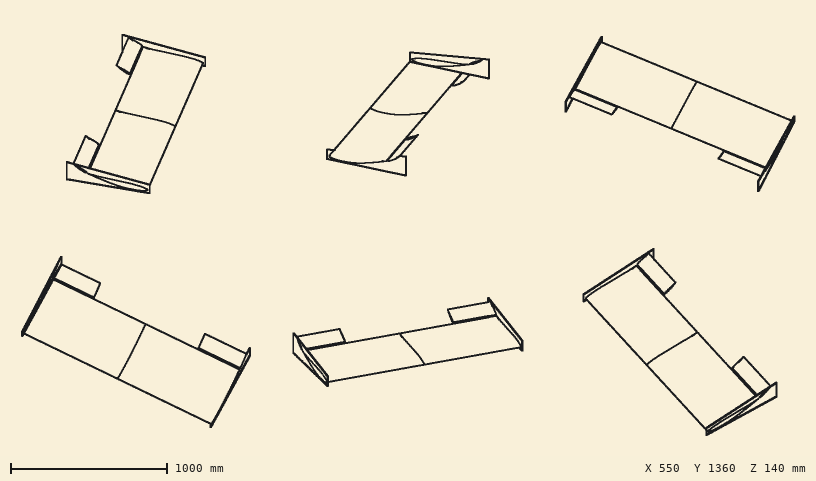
import cadquery as cq

SPAN = 1360.0
PLATE_LENGTH = 550.0
PLATE_REAR_HEIGHT = 140.0
PLATE_FRONT_HEIGHT = 70.0
PLATE_THICKNESS = 5.0
FLAP_SPAN = 299.0

PLATE_INNER_Y = SPAN / 2 - PLATE_THICKNESS
SIDES = (-1, 1)

WING_TRAILING_EDGE = (139.0, 73.0)
WING_LEADING_EDGE = (536.0, 22.0)
WING_UPPER = [(190, 65.0), (272, 60.0), (354, 56.0), (422, 50.0), (476, 44.0), (517, 33.0)]
WING_LOWER = [(521.0, 14), (490, 7.0), (435, 5.0), (381, 8.0), (318.0, 19.0), (246.0, 38.0), (190, 56.0)]

FLAP_TRAILING_EDGE = (44.0, 133.0)
FLAP_LEADING_EDGE = (132.0, 79.0)
FLAP_UPPER = [(60.0, 121.0), (87.0, 109), (114.0, 94.0), (128.0, 85.0)]
FLAP_LOWER = [(126.0, 78.0), (106.0, 85.0), (85.0, 98.0), (63.0, 114.0)]


def extrude_along_span(section, y_start, y_end):
    """Extrude an XZ section, drawn at y = 0, from y_start to y_end."""
    return section.extrude(y_start - y_end).translate((0, y_start, 0))


def airfoil_section(trailing_edge, upper, leading_edge, lower):
    """Closed airfoil: one smooth curve around the leading edge, sharp at the tail."""
    surface = [trailing_edge, *upper, leading_edge, *lower, trailing_edge]
    return cq.Workplane("XZ").spline(surface).close()


def end_plate(side):
    """Flat plate closing one end of the wing, taller at the rear."""
    section = cq.Workplane("XZ").polyline([
        (0, 0),
        (PLATE_LENGTH, 0),
        (PLATE_LENGTH, PLATE_FRONT_HEIGHT),
        (0, PLATE_REAR_HEIGHT),
    ]).close()
    y_start, y_end = sorted((side * PLATE_INNER_Y, side * SPAN / 2))
    return extrude_along_span(section, y_start, y_end)


def wing_half(side):
    """Main wing from the centre joint to the inner face of one end plate."""
    section = airfoil_section(WING_TRAILING_EDGE, WING_UPPER, WING_LEADING_EDGE, WING_LOWER)
    y_start, y_end = sorted((0, side * PLATE_INNER_Y))
    return extrude_along_span(section, y_start, y_end)


def flap(side):
    """Short steep flap behind the wing, reaching inward from one end plate."""
    section = airfoil_section(FLAP_TRAILING_EDGE, FLAP_UPPER, FLAP_LEADING_EDGE, FLAP_LOWER)
    y_start, y_end = sorted((side * PLATE_INNER_Y, side * (PLATE_INNER_Y - FLAP_SPAN)))
    return extrude_along_span(section, y_start, y_end)


end_plates = [end_plate(side).val() for side in SIDES]
wing_halves = [wing_half(side).val() for side in SIDES]
flaps = [flap(side).val() for side in SIDES]

result = cq.Compound.makeCompound([*end_plates, *wing_halves, *flaps])